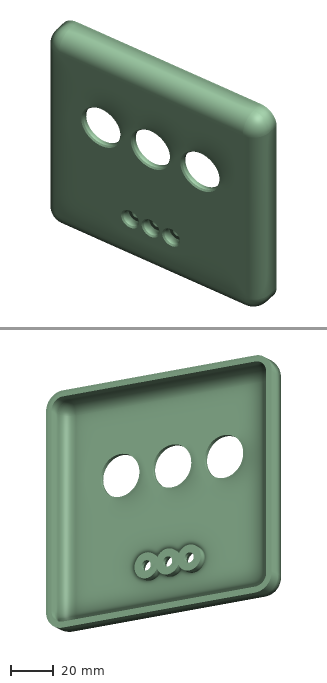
import cadquery as cq

WIDTH = 122.8
DEPTH = 15.0
HEIGHT = 116.54
EDGE_RADIUS = 9.0
WALL = 3.0

WINDOW_DIAMETER = 21.0
WINDOW_SPACING = 28.25
WINDOW_Z = 15.87

HOLE_DIAMETER = 5.0
COUNTERBORE_DIAMETER = 8.7
COUNTERBORE_DEPTH = 5.0
HOLE_SPACING = 11.7
HOLE_Z = -32.13
BOSS_WALL = 2.0
BOSS_DIAMETER = COUNTERBORE_DIAMETER + 2 * BOSS_WALL
BOSS_FLOOR = 2.0

RIM_CHAMFER = 0.75
COLUMNS = (-1, 0, 1)


def rounded_block(width, depth, height, radius):
    """Block from Y = 0 to Y = depth, rounded at its corners and around its front."""
    block = cq.Workplane("XY").box(width, depth, height).translate((0, depth / 2, 0))
    return block.edges("|Y").fillet(radius).faces("<Y").edges().fillet(radius)


def cylinder(x, y, z, diameter, length):
    """Cylinder that starts at Y = y and runs toward +Y."""
    start = cq.Vector(x, y, z)
    return cq.Workplane(cq.Solid.makeCylinder(diameter / 2, length, start, cq.Vector(0, 1, 0)))


def rim_cone(x, z, diameter):
    """Cone that chamfers the front rim of a hole."""
    radius = diameter / 2
    start = cq.Vector(x, 0, z)
    return cq.Workplane(
        cq.Solid.makeCone(radius + RIM_CHAMFER, radius, RIM_CHAMFER, start, cq.Vector(0, 1, 0))
    )


def make_shell():
    outside = rounded_block(WIDTH, DEPTH, HEIGHT, EDGE_RADIUS)
    inside = rounded_block(WIDTH - 2 * WALL, DEPTH, HEIGHT - 2 * WALL, EDGE_RADIUS - WALL)
    return outside.cut(inside.translate((0, WALL, 0)))


def cut_window(body, x):
    body = body.cut(cylinder(x, 0, WINDOW_Z, WINDOW_DIAMETER, DEPTH))
    return body.cut(rim_cone(x, WINDOW_Z, WINDOW_DIAMETER))


def add_boss(body, x):
    boss_end = COUNTERBORE_DEPTH + BOSS_FLOOR
    boss_start = WALL / 2
    return body.union(cylinder(x, boss_start, HOLE_Z, BOSS_DIAMETER, boss_end - boss_start))


def cut_counterbored_hole(body, x):
    body = body.cut(cylinder(x, 0, HOLE_Z, HOLE_DIAMETER, DEPTH))
    body = body.cut(cylinder(x, 0, HOLE_Z, COUNTERBORE_DIAMETER, COUNTERBORE_DEPTH))
    return body.cut(rim_cone(x, HOLE_Z, COUNTERBORE_DIAMETER))


result = make_shell()
for column in COLUMNS:
    result = cut_window(result, column * WINDOW_SPACING)
for column in COLUMNS:
    result = add_boss(result, column * HOLE_SPACING)
for column in COLUMNS:
    result = cut_counterbored_hole(result, column * HOLE_SPACING)